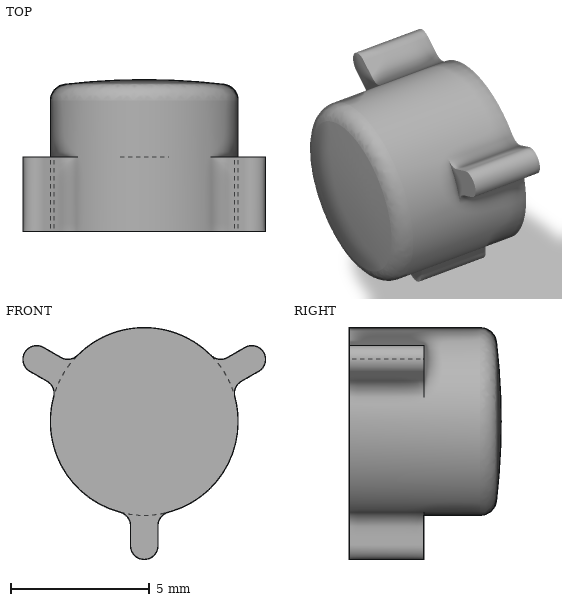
import cadquery as cq
import math

overall_width = 8.79
overall_depth = 5.5

body_radius = 3.4
dome_rise = 0.24
rim_fillet = 0.6

lug_count = 3
lug_depth = 2.7
lug_tip_radius = 0.5
root_fillet = 0.5
first_lug_angle = 30.0
lug_spacing = 360.0 / lug_count

tip_center_distance = (overall_width / 2 - lug_tip_radius) / math.cos(math.radians(first_lug_angle))

shoulder_y = overall_depth - dome_rise
dome_radius = (body_radius**2 + dome_rise**2) / (2 * dome_rise)


def make_body():
    """Cylinder with a shallow spherical dome and a rounded rim."""
    mid_radius = body_radius / 2
    mid_y = overall_depth - dome_radius + math.sqrt(dome_radius**2 - mid_radius**2)
    profile = (
        cq.Workplane("XY")
        .lineTo(body_radius, 0)
        .lineTo(body_radius, shoulder_y)
        .threePointArc((mid_radius, mid_y), (0, overall_depth))
        .close()
    )
    body = profile.revolve(360, (0, 0), (0, 1))
    return body.faces("%CYLINDER").edges(">Y").fillet(rim_fillet)


def make_lug(angle):
    """Round-ended radial bar reaching from the body axis to the lug tip."""
    bar = (
        cq.Workplane("XZ")
        .moveTo(0, -lug_tip_radius)
        .lineTo(tip_center_distance, -lug_tip_radius)
        .threePointArc((tip_center_distance + lug_tip_radius, 0), (tip_center_distance, lug_tip_radius))
        .lineTo(0, lug_tip_radius)
        .close()
        .extrude(-lug_depth)
    )
    return bar.rotate((0, 0, 0), (0, 1, 0), -angle)


def make_lug_plate():
    """Disc carrying all lugs, with rounded corners where they meet the disc."""
    plate = cq.Workplane("XZ").circle(body_radius).extrude(-lug_depth)
    for index in range(lug_count):
        plate = plate.union(make_lug(first_lug_angle + index * lug_spacing))

    root_distance = math.sqrt(body_radius**2 - lug_tip_radius**2)
    for index in range(lug_count):
        angle = math.radians(first_lug_angle + index * lug_spacing)
        for side in (-lug_tip_radius, lug_tip_radius):
            root_x = root_distance * math.cos(angle) - side * math.sin(angle)
            root_z = root_distance * math.sin(angle) + side * math.cos(angle)
            root_edge = cq.selectors.NearestToPointSelector((root_x, lug_depth / 2, root_z))
            plate = plate.edges(root_edge).fillet(root_fillet)
    return plate


result = make_body().union(make_lug_plate())